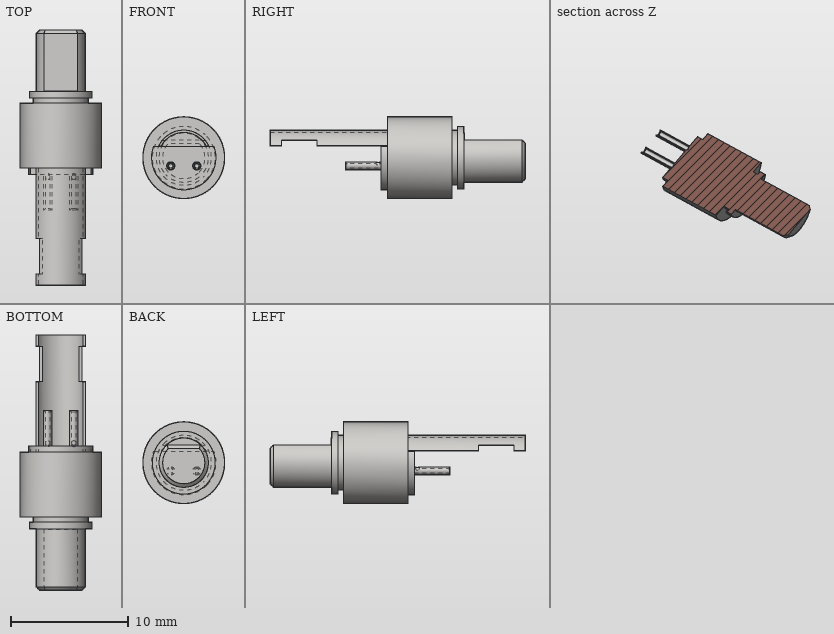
import cadquery as cq

total_length = 21.8
body_diameter = 7.0
body_length = 5.54

neck_diameter = 4.7
neck_length = 0.44
collar_diameter = 5.36
collar_length = 0.57
nose_diameter = 4.2
nose_end = 11.8
nose_chamfer = 0.3
nose_flat_height = 1.53
nose_round_base = 0.05

insulator_diameter = 5.5
insulator_length = 0.55
insulator_top = 0.95

blade_length = total_length - nose_end
blade_radius = neck_diameter / 2
blade_thickness = 0.2
blade_bottom = 1.0
blade_notch_start = 6.02
blade_tip_length = 0.98
blade_notch_top = 1.48

pin_diameter = 0.7
pin_bore_diameter = 0.4
pin_mouth_diameter = 0.6
pin_length = 3.0
pin_offset = 1.11
pin_height = -0.7
vent_diameter = 0.4
vent_gap = 0.05
bore_cone_depth = pin_bore_diameter / 4

neck_end = body_length + neck_length
collar_end = neck_end + collar_length
pin_root = -insulator_length
pin_end = pin_root - pin_length


def rod(diameter, start, end, x=0.0, z=0.0):
    """Cylinder along Y from start to end."""
    base = cq.Vector(x, start, z)
    direction = cq.Vector(0, end - start, 0)
    return cq.Workplane(cq.Solid.makeCylinder(diameter / 2, abs(end - start), base, direction))


def block(start, end, bottom, top):
    """Box wider than the part, centred on X, between the given Y and Z limits."""
    return (
        cq.Workplane()
        .box(body_diameter, end - start, top - bottom, centered=(True, False, False))
        .translate((0, start, bottom))
    )


def make_nose():
    nose = rod(nose_diameter, collar_end, nose_end)
    flat_start = collar_end + nose_round_base
    nose = nose.cut(block(flat_start, nose_end, nose_flat_height, nose_diameter))
    return nose.faces(">Y").chamfer(nose_chamfer)


def make_insulator():
    disc = rod(insulator_diameter, 0, -insulator_length)
    return disc.cut(block(-insulator_length, 0, insulator_top, insulator_diameter))


def make_blade():
    outer = rod(2 * blade_radius, 0, -blade_length)
    inner = rod(2 * (blade_radius - blade_thickness), 0, -blade_length)
    blade = outer.cut(inner).intersect(block(-blade_length, 0, blade_bottom, blade_radius))
    notch_end = blade_length - blade_tip_length
    return blade.cut(block(-notch_end, -blade_notch_start, 0, blade_notch_top))


def make_pin(x):
    return rod(pin_diameter, pin_root, pin_end, x, pin_height)


def make_pin_bore(x):
    """Countersunk blind bore with a conical bottom, and the vent hole leading into it from above."""
    bore_radius = pin_bore_diameter / 2
    mouth_radius = pin_mouth_diameter / 2
    countersink_end = pin_end + mouth_radius - bore_radius
    half_profile = (
        cq.Workplane()
        .moveTo(x, pin_end)
        .lineTo(x + mouth_radius, pin_end)
        .lineTo(x + bore_radius, countersink_end)
        .lineTo(x + bore_radius, pin_root)
        .lineTo(x, pin_root + bore_cone_depth)
        .close()
    )
    bore = half_profile.revolve(360, (x, 0), (x, 1)).translate((0, 0, pin_height))
    vent_y = pin_root - vent_gap - vent_diameter / 2
    vent = cq.Solid.makeCylinder(
        vent_diameter / 2, pin_diameter / 2, cq.Vector(x, vent_y, pin_height)
    )
    return bore.union(cq.Workplane(vent))


result = rod(body_diameter, 0, body_length)
result = result.union(rod(neck_diameter, body_length, neck_end))
result = result.union(rod(collar_diameter, neck_end, collar_end))
result = result.union(make_nose())
result = result.union(make_insulator())
result = result.union(make_blade())
for pin_x in (-pin_offset, pin_offset):
    result = result.union(make_pin(pin_x))
    result = result.cut(make_pin_bore(pin_x))